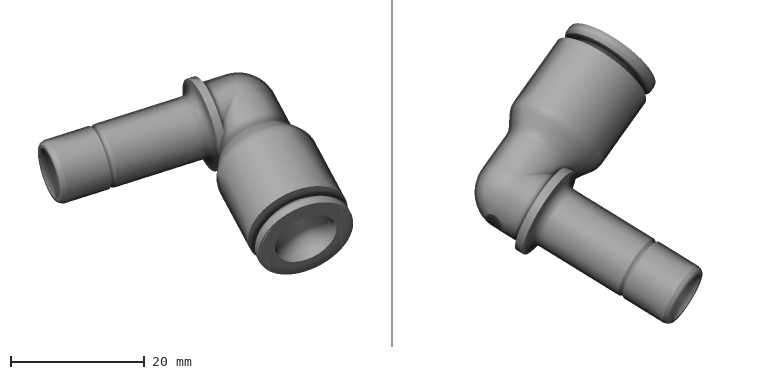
import cadquery as cq
import math


overall_length = 38.65

elbow_radius = 6.1
socket_diameter = 16.1
socket_radius = socket_diameter / 2
socket_end_x = 23.3
flare_start_x = 6.55
flare_angle = math.radians(30)
flare_blend_radius = 3.0
passage_radius = 4.87
passage_offset = 0.5

tube_radius = 5.0
collar_radius = 7.25
collar_top_y = -4.75
collar_thickness = 1.3
collar_bottom_y = collar_top_y - collar_thickness
relief_radius = 7.55
collar_fillet = 0.45
stem_fillet = 1.5
stem_end_y = socket_radius - overall_length
stem_bore_mouth_radius = 3.95
stem_bore_inner_radius = 3.7

groove_top_y = -21.7
groove_lip_drop = 0.1
groove_lip_length = 0.27
groove_depth = 0.25
groove_wall_length = 0.25
groove_floor_length = 0.25

tip_length = 0.85
tip_bevel_length = 0.25
tip_taper_drop = 0.25
tip_bevel_drop = 0.25

scoop_radius = 3.6
scoop_depth = 0.5

neck_radius = 5.75
insert_depth = 10.05
neck_gap = 1.35
neck_fillet = 0.3
flange_radius = 7.75
flange_face_radius = 7.7
flange_back_radius = 7.4
flange_back_chamfer = 0.1
flange_taper_length = 0.45
flange_rim_length = 0.8
flange_face_taper_length = 0.3
pad_height = 0.1
pad_radius = 7.4
pad_chord_distance = 5.65

ARC_MIDDLE = math.sin(math.radians(45))


def socket_arm():
    """Elbow radius flaring to the socket radius through two blends tangent to a cone."""
    blend_length = flare_blend_radius * math.sin(flare_angle)
    blend_rise = flare_blend_radius * (1 - math.cos(flare_angle))
    half_length = flare_blend_radius * math.sin(flare_angle / 2)
    half_rise = flare_blend_radius * (1 - math.cos(flare_angle / 2))
    cone_rise = socket_radius - elbow_radius - 2 * blend_rise
    cone_length = cone_rise / math.tan(flare_angle)
    flare_end_x = flare_start_x + 2 * blend_length + cone_length
    return (
        cq.Workplane("XY")
        .lineTo(0, elbow_radius)
        .lineTo(flare_start_x, elbow_radius)
        .threePointArc(
            (flare_start_x + half_length, elbow_radius + half_rise),
            (flare_start_x + blend_length, elbow_radius + blend_rise),
        )
        .lineTo(flare_end_x - blend_length, socket_radius - blend_rise)
        .threePointArc(
            (flare_end_x - half_length, socket_radius - half_rise),
            (flare_end_x, socket_radius),
        )
        .lineTo(socket_end_x, socket_radius)
        .lineTo(socket_end_x, 0)
        .close()
        .revolve(360, (0, 0, 0), (1, 0, 0))
    )


def stem_arm():
    """Elbow leg, collar and plug stem with its groove and tapered tip."""
    fillet_side = 1 - ARC_MIDDLE
    lip_y = groove_top_y - groove_lip_length
    floor_top_y = lip_y - groove_wall_length
    floor_bottom_y = floor_top_y - groove_floor_length
    groove_bottom_y = floor_bottom_y - groove_wall_length
    groove_radius = tube_radius - groove_depth
    bevel_radius = tube_radius - tip_taper_drop
    return (
        cq.Workplane("XY")
        .lineTo(elbow_radius, 0)
        .lineTo(elbow_radius, collar_top_y + collar_fillet)
        .threePointArc(
            (elbow_radius + collar_fillet * fillet_side, collar_top_y + collar_fillet * fillet_side),
            (elbow_radius + collar_fillet, collar_top_y),
        )
        .lineTo(collar_radius, collar_top_y)
        .lineTo(collar_radius, collar_bottom_y)
        .lineTo(tube_radius + stem_fillet, collar_bottom_y)
        .threePointArc(
            (tube_radius + stem_fillet * fillet_side, collar_bottom_y - stem_fillet * fillet_side),
            (tube_radius, collar_bottom_y - stem_fillet),
        )
        .lineTo(tube_radius, groove_top_y)
        .tangentArcPoint((tube_radius - groove_lip_drop, lip_y), relative=False)
        .lineTo(groove_radius, floor_top_y)
        .lineTo(groove_radius, floor_bottom_y)
        .lineTo(tube_radius, groove_bottom_y)
        .lineTo(tube_radius, stem_end_y + tip_length)
        .lineTo(bevel_radius, stem_end_y + tip_bevel_length)
        .lineTo(bevel_radius - tip_bevel_drop, stem_end_y)
        .lineTo(0, stem_end_y)
        .close()
        .revolve(360, (0, 0, 0), (0, 1, 0))
    )


def collar_relief():
    """Clearance below the collar, which leaves its lower face flat up to the flare."""
    return (
        cq.Workplane("XZ", origin=(0, collar_bottom_y, 0))
        .circle(relief_radius)
        .extrude(socket_radius + collar_bottom_y)
    )


def stem_bore():
    """Bore narrowing from the stem tip up to the stem axis crossing."""
    return (
        cq.Workplane("XY")
        .lineTo(stem_bore_inner_radius, 0)
        .lineTo(stem_bore_mouth_radius, stem_end_y)
        .lineTo(0, stem_end_y)
        .close()
        .revolve(360, (0, 0, 0), (0, 1, 0))
    )


def socket_passage():
    """Round-ended passage along X, with the wider seat that holds the collet."""
    arc_step = passage_radius * ARC_MIDDLE
    seat_floor_x = socket_end_x - insert_depth
    return (
        cq.Workplane("XY")
        .moveTo(passage_offset - passage_radius, 0)
        .threePointArc((passage_offset - arc_step, arc_step), (passage_offset, passage_radius))
        .lineTo(seat_floor_x, passage_radius)
        .lineTo(seat_floor_x, neck_radius)
        .lineTo(socket_end_x, neck_radius)
        .lineTo(socket_end_x, 0)
        .close()
        .revolve(360, (0, 0, 0), (1, 0, 0))
    )


def corner_scoop():
    """Upright cylinder that hollows the outer corner of the elbow."""
    scoop_axis_x = -elbow_radius + scoop_depth - scoop_radius
    return (
        cq.Workplane("XY")
        .center(scoop_axis_x, 0)
        .circle(scoop_radius)
        .extrude(elbow_radius, both=True)
    )


def make_housing():
    corner = cq.Workplane("XY").sphere(elbow_radius)
    elbow = socket_arm().union(corner).cut(collar_relief())
    outside = elbow.union(stem_arm())
    return outside.cut(corner_scoop()).cut(stem_bore()).cut(socket_passage()).solids()


def collet_pads(face_x):
    """Two low pads on the end face, each a circle segment, on the +Y and -Y sides."""
    disc = cq.Workplane("YZ", origin=(face_x, 0, 0)).circle(pad_radius).extrude(pad_height)
    middle_band = (
        cq.Workplane("YZ", origin=(face_x, 0, 0))
        .rect(2 * pad_chord_distance, 2 * pad_radius)
        .extrude(pad_height)
    )
    return disc.cut(middle_band)


def make_collet():
    """Sleeve sliding in the housing, with a flange to press on outside the mouth."""
    insert_x = socket_end_x - insert_depth
    flange_back_x = socket_end_x + neck_gap
    chamfer_end_x = flange_back_x + flange_back_chamfer
    rim_start_x = chamfer_end_x + flange_taper_length
    rim_end_x = rim_start_x + flange_rim_length
    face_x = rim_end_x + flange_face_taper_length
    fillet_side = neck_fillet * (1 - ARC_MIDDLE)
    sleeve = (
        cq.Workplane("XY")
        .moveTo(insert_x, tube_radius)
        .lineTo(insert_x, neck_radius)
        .lineTo(flange_back_x - neck_fillet, neck_radius)
        .threePointArc(
            (flange_back_x - fillet_side, neck_radius + fillet_side),
            (flange_back_x, neck_radius + neck_fillet),
        )
        .lineTo(flange_back_x, flange_back_radius)
        .lineTo(chamfer_end_x, flange_back_radius + flange_back_chamfer)
        .lineTo(rim_start_x, flange_radius)
        .lineTo(rim_end_x, flange_radius)
        .lineTo(face_x, flange_face_radius)
        .lineTo(face_x, tube_radius)
        .close()
        .revolve(360, (0, 0, 0), (1, 0, 0))
    )
    return sleeve.union(collet_pads(face_x)).solids()


housing = make_housing()
collet = make_collet()

result = cq.Compound.makeCompound([housing.val(), collet.val()])